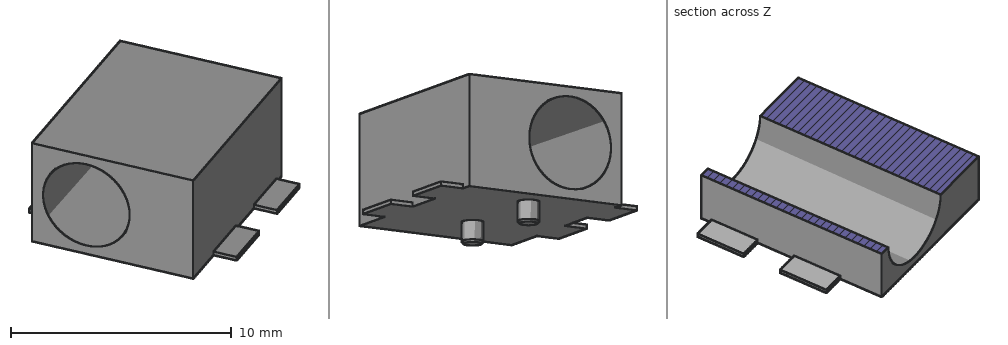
import cadquery as cq

overall_width = 10.3
body_width = 8.0
body_depth = 9.8
body_height = 5.2

bore_diameter = 4.3
bore_x = -1.3
bore_z = body_height / 2

tab_length = 2.5
tab_thickness = 0.2
tab_pitch = 4.48
rear_tab_inset = 0.57

peg_diameter = 1.0
peg_height = 1.0
peg_chamfer = 0.1
peg_pitch = 5.0
rear_peg_inset = 1.5

rear_y = body_depth / 2


def make_body():
    block = cq.Workplane("XY").box(body_width, body_depth, body_height, centered=(True, True, False))
    bore = (
        cq.Workplane("XZ")
        .center(bore_x, bore_z)
        .circle(bore_diameter / 2)
        .extrude(body_depth, both=True)
    )
    return block.cut(bore)


def make_tab_pair(center_y):
    """One strip across the underside forms the left and right tabs."""
    strip = cq.Workplane("XY").box(
        overall_width, tab_length, tab_thickness, centered=(True, True, False)
    )
    return strip.translate((0, center_y, 0))


def make_peg(center_y):
    return (
        cq.Workplane("XY")
        .center(0, center_y)
        .circle(peg_diameter / 2)
        .extrude(-peg_height)
        .faces("<Z")
        .chamfer(peg_chamfer)
    )


result = make_body()
for row in range(2):
    tab_y = rear_y - rear_tab_inset - tab_length / 2 - row * tab_pitch
    peg_y = rear_y - rear_peg_inset - row * peg_pitch
    result = result.union(make_tab_pair(tab_y)).union(make_peg(peg_y))